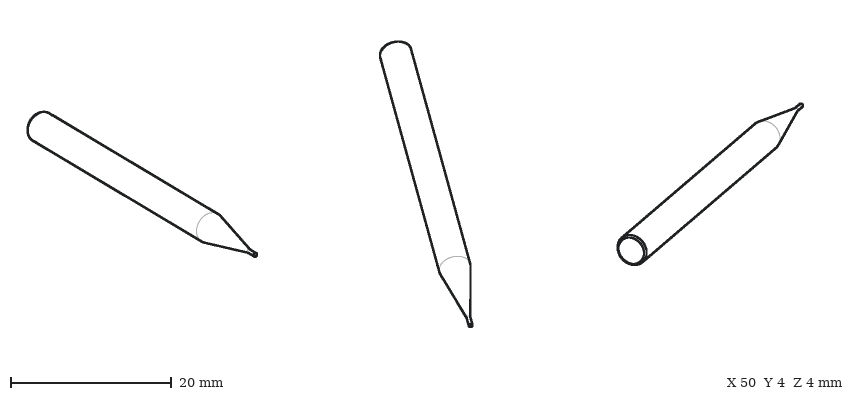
import cadquery as cq

total_length = 50.0
shank_diameter = 4.0

tip_diameter = 0.5
tip_length = 1.5

taper_length = 9.0

back_chamfer = 0.25

tip_start = total_length - tip_length
taper_start = tip_start - taper_length

shank_radius = shank_diameter / 2
tip_radius = tip_diameter / 2


def tool_blank():
    """Revolve the half profile of shank, taper and tip about the X axis."""
    half_profile = (
        cq.Workplane("XY")
        .moveTo(0, 0)
        .lineTo(0, shank_radius - back_chamfer)
        .lineTo(back_chamfer, shank_radius)
        .lineTo(taper_start, shank_radius)
        .lineTo(tip_start, tip_radius)
        .lineTo(total_length, tip_radius)
        .lineTo(total_length, 0)
        .close()
    )
    return half_profile.revolve(360, (0, 0, 0), (1, 0, 0))


result = tool_blank()